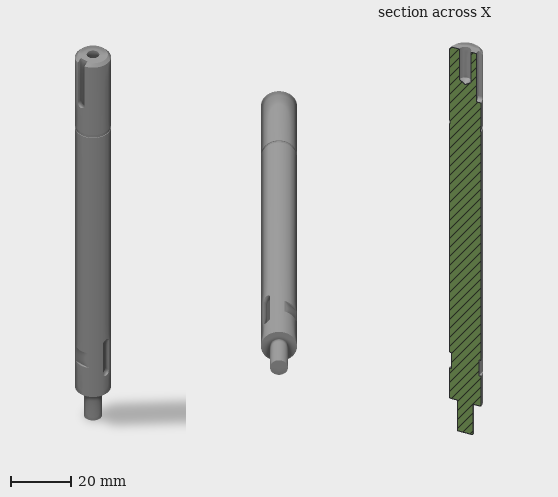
import cadquery as cq
import math

total_length = 150.0
shaft_diameter = 12.0
shaft_radius = shaft_diameter / 2
spigot_diameter = 6.0
spigot_length = 12.0
end_chamfer = 1.0

groove_width = 1.2
groove_depth = 0.25
groove_top_distance = 29.1

hole_diameter = 4.2
hole_depth = 12.0
drill_point_angle = 118.0

key_width = 3.0
key_depth = 1.8
upper_key_length = 18.9
side_key_length = 15.0

flat_height = 6.0
across_flats = 10.5
flat_center_z = 2 * spigot_length + flat_height / 2


def make_shaft():
    spigot = cq.Workplane("XY").circle(spigot_diameter / 2).extrude(spigot_length)
    body = (
        cq.Workplane("XY", origin=(0, 0, spigot_length))
        .circle(shaft_radius)
        .extrude(total_length - spigot_length)
        .faces(">Z")
        .chamfer(end_chamfer)
    )
    return spigot.union(body)


def make_groove():
    groove_bottom_z = total_length - groove_top_distance - groove_width
    return (
        cq.Workplane("XY", origin=(0, 0, groove_bottom_z))
        .circle(shaft_diameter)
        .circle(shaft_radius - groove_depth)
        .extrude(groove_width)
    )


def make_center_hole():
    hole_radius = hole_diameter / 2
    point_height = hole_radius / math.tan(math.radians(drill_point_angle / 2))
    hole_bottom_z = total_length - hole_depth
    return (
        cq.Workplane("XZ")
        .moveTo(0, total_length)
        .lineTo(hole_radius, total_length)
        .lineTo(hole_radius, hole_bottom_z)
        .lineTo(0, hole_bottom_z - point_height)
        .close()
        .revolve(360, (0, 0, 0), (0, 1, 0))
    )


def make_keyway(center_z, length):
    """Round-ended keyway cutter on the -Y side of the shaft."""
    floor_y = -(shaft_radius - key_depth)
    return (
        cq.Workplane("XZ", origin=(0, floor_y, center_z))
        .slot2D(length, key_width, 90)
        .extrude(shaft_radius)
    )


def make_flat(side):
    """Wrench flat cutter; side is -1 for -Y and +1 for +Y."""
    cutter_center_y = side * (across_flats / 2 + shaft_radius / 2)
    return cq.Workplane("XY", origin=(0, cutter_center_y, flat_center_z)).box(
        shaft_diameter, shaft_radius, flat_height
    )


result = make_shaft().cut(make_groove()).cut(make_center_hole())

result = result.cut(make_keyway(total_length, 2 * upper_key_length))

side_keyway = make_keyway(flat_center_z, side_key_length)
result = result.cut(side_keyway.rotate((0, 0, 0), (0, 0, 1), 90))

for side in (-1, 1):
    result = result.cut(make_flat(side))